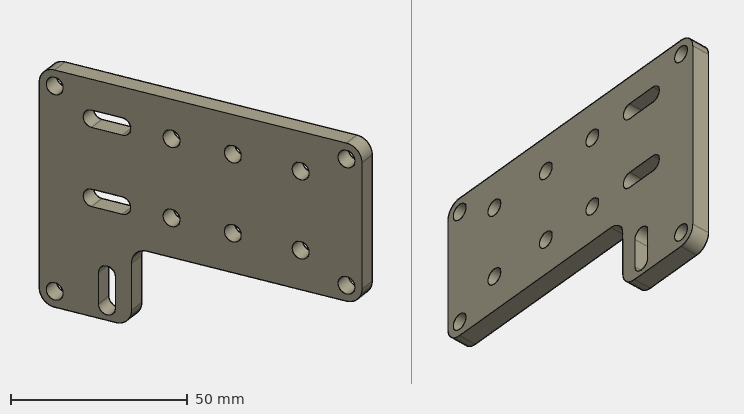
import cadquery as cq

length = 105.0
height = 75.0
thickness = 6.0
leg_width = 30.0
leg_height = 25.0
corner_radius = 5.0

hole_diameter = 5.5
corner_inset = corner_radius
slot_length = 15.4
slot_x = 22.0
leg_slot_z = 9.5
column_positions = (43.0, 63.0, 85.0)
row_positions = (37.5, 62.5)

corner_holes = [
    (corner_inset, corner_inset),
    (corner_inset, height - corner_inset),
    (length - corner_inset, height - corner_inset),
    (length - corner_inset, leg_height + corner_inset),
]
grid_holes = [(x, z) for x in column_positions for z in row_positions]
row_slots = [(slot_x, z) for z in row_positions]


def make_plate():
    """L-shaped plate with every corner rounded, front face at Y = 0."""
    outline = [
        (0, 0),
        (leg_width, 0),
        (leg_width, leg_height),
        (length, leg_height),
        (length, height),
        (0, height),
    ]
    plate = cq.Workplane("XZ").polyline(outline).close().extrude(-thickness)
    return plate.edges("|Y").fillet(corner_radius)


def hole_cutters(points):
    return cq.Workplane("XZ").pushPoints(points).circle(hole_diameter / 2).extrude(-thickness)


def slot_cutters(points, angle):
    return cq.Workplane("XZ").pushPoints(points).slot2D(slot_length, hole_diameter, angle).extrude(-thickness)


result = (
    make_plate()
    .cut(hole_cutters(corner_holes + grid_holes))
    .cut(slot_cutters(row_slots, 0))
    .cut(slot_cutters([(slot_x, leg_slot_z)], 90))
)